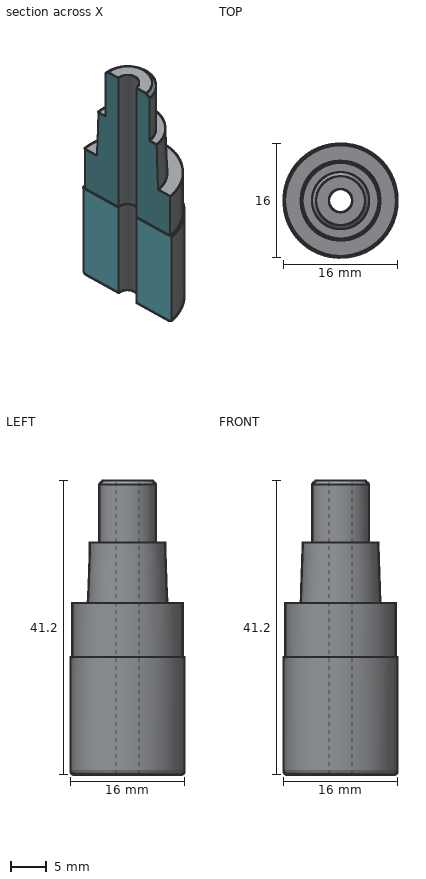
import cadquery as cq

total_height = 41.25
bore_diameter = 3.2

sleeve_diameter = 16.0
sleeve_height = 16.5
sleeve_bottom_fillet = 0.6

collar_diameter = 15.5
collar_top = 24.1
neck_bottom_diameter = 11.18
neck_top_diameter = 10.6
neck_top = 32.55
tip_diameter = 8.0
tip_chamfer = 0.58


def make_sleeve():
    """Cylinder with a rounded bottom edge and a through bore."""
    return (
        cq.Workplane("XY")
        .circle(sleeve_diameter / 2)
        .extrude(sleeve_height)
        .faces("<Z").edges().fillet(sleeve_bottom_fillet)
        .faces(">Z").workplane()
        .hole(bore_diameter)
    )


def make_stem():
    """Revolved collar, tapered neck and chamfered tip around the bore."""
    bore_radius = bore_diameter / 2
    collar_radius = collar_diameter / 2
    tip_radius = tip_diameter / 2
    return (
        cq.Workplane("XZ")
        .moveTo(bore_radius, sleeve_height)
        .lineTo(collar_radius, sleeve_height)
        .lineTo(collar_radius, collar_top)
        .lineTo(neck_bottom_diameter / 2, collar_top)
        .lineTo(neck_top_diameter / 2, neck_top)
        .lineTo(tip_radius, neck_top)
        .lineTo(tip_radius, total_height - tip_chamfer)
        .lineTo(tip_radius - tip_chamfer, total_height)
        .lineTo(bore_radius, total_height)
        .close()
        .revolve(360, (0, 0, 0), (0, 1, 0))
    )


sleeve = make_sleeve()
stem = make_stem()

result = cq.Compound.makeCompound([sleeve.val(), stem.val()])